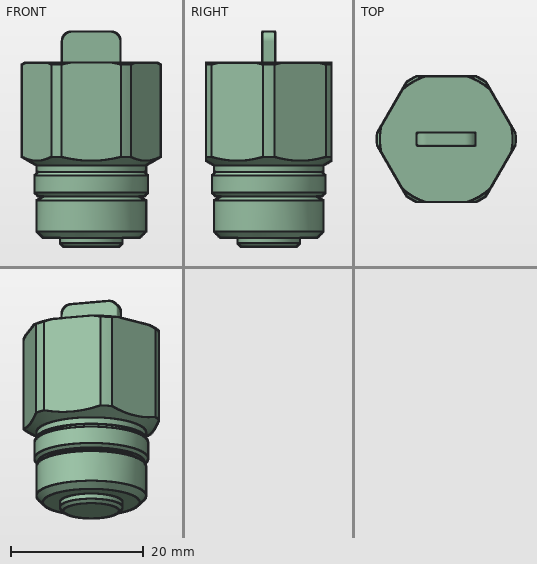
import cadquery as cq
import math

TOTAL_HEIGHT = 32.5
TAB_HEIGHT = 4.7
HEX_TOP = TOTAL_HEIGHT - TAB_HEIGHT

HEX_SIDES = 6
HEX_ACROSS_FLATS = 19.0
HEX_CORNER_RADIUS = 10.5
HEX_TOP_CIRCLE_RADIUS = 10.0
HEX_CHAMFER_ANGLE = 30.0
HEX_BOTTOM = 12.3

TAB_LENGTH = 8.9
TAB_THICKNESS = 2.0
TAB_CORNER_RADIUS = 1.5
TAB_EDGE_RADIUS = 0.2

SHANK_RADIUS = 8.3
SHANK_BOTTOM = 1.35
SHANK_BOTTOM_CHAMFER = 1.0
SHANK_SHOULDER = 7.0
SHANK_TOP_RADIUS = 7.2
SHANK_TOP_ANGLE = 30.0
SHANK_TOP = SHANK_SHOULDER + (SHANK_RADIUS - SHANK_TOP_RADIUS) * math.tan(math.radians(SHANK_TOP_ANGLE))

RING_RADIUS = 8.6
RING_BOTTOM = SHANK_TOP
RING_TOP = 11.3
RING_CHAMFER = 0.55

PILOT_RADIUS = 4.75
PILOT_CHAMFER = 0.55


def revolve_profile(points):
    """Revolve a closed (radius, height) outline about the Z axis."""
    return cq.Workplane("XZ").polyline(points).close().revolve(360, (0, 0), (0, 1))


def make_hex_head():
    """Hexagonal prism trimmed by a cylinder with a cone at each end."""
    across_corners = HEX_ACROSS_FLATS / math.cos(math.pi / HEX_SIDES)
    height = HEX_TOP - HEX_BOTTOM
    prism = cq.Workplane("XY").workplane(offset=HEX_BOTTOM).polygon(HEX_SIDES, across_corners).extrude(height)
    slope = math.tan(math.radians(HEX_CHAMFER_ANGLE))
    top_drop = (HEX_CORNER_RADIUS - HEX_TOP_CIRCLE_RADIUS) * slope
    bottom_rise = (HEX_CORNER_RADIUS - SHANK_RADIUS) * slope
    envelope = revolve_profile([
        (0, HEX_BOTTOM),
        (SHANK_RADIUS, HEX_BOTTOM),
        (HEX_CORNER_RADIUS, HEX_BOTTOM + bottom_rise),
        (HEX_CORNER_RADIUS, HEX_TOP - top_drop),
        (HEX_TOP_CIRCLE_RADIUS, HEX_TOP),
        (0, HEX_TOP),
    ])
    return prism.intersect(envelope)


def make_turned_body():
    """Pilot, shank, sealing ring and neck in one revolved outline."""
    ring_end_radius = RING_RADIUS - RING_CHAMFER
    return revolve_profile([
        (0, 0),
        (PILOT_RADIUS - PILOT_CHAMFER, 0),
        (PILOT_RADIUS, PILOT_CHAMFER),
        (PILOT_RADIUS, SHANK_BOTTOM),
        (SHANK_RADIUS - SHANK_BOTTOM_CHAMFER, SHANK_BOTTOM),
        (SHANK_RADIUS, SHANK_BOTTOM + SHANK_BOTTOM_CHAMFER),
        (SHANK_RADIUS, SHANK_SHOULDER),
        (SHANK_TOP_RADIUS, SHANK_TOP),
        (ring_end_radius, RING_BOTTOM),
        (RING_RADIUS, RING_BOTTOM + RING_CHAMFER),
        (RING_RADIUS, RING_TOP - RING_CHAMFER),
        (ring_end_radius, RING_TOP),
        (SHANK_RADIUS, RING_TOP),
        (SHANK_RADIUS, HEX_BOTTOM),
        (0, HEX_BOTTOM),
    ])


def make_tab():
    """Upright tab with rounded upper corners and softened edges."""
    tab = cq.Workplane("XY").workplane(offset=HEX_TOP).rect(TAB_LENGTH, TAB_THICKNESS).extrude(TAB_HEIGHT)
    tab = tab.edges("|Y and >Z").fillet(TAB_CORNER_RADIUS)
    return tab.faces("<Y or >Y").edges("not <Z").fillet(TAB_EDGE_RADIUS)


result = make_turned_body().union(make_hex_head()).union(make_tab())